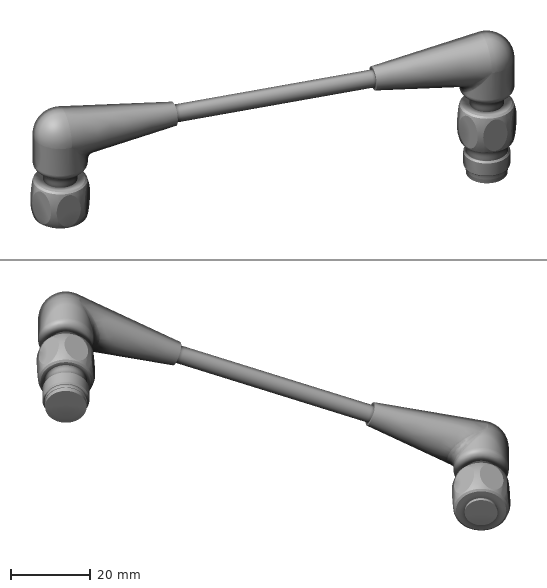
import cadquery as cq
import math


overall_length = 128.59
nut_corner_diameter = 15.4
connector_spacing = overall_length - nut_corner_diameter
connector_y = connector_spacing / 2

cable_diameter = 4.6
boot_reach = 30.2
boot_end_radius = 3.1

elbow_radius = 7.0
elbow_bottom_z = -10.0
elbow_edge_radius = 1.9
elbow_blend_radius = 2.0

neck_diameter = 8.7

nut_across_flats = 14.0
nut_top_z = -13.4
nut_height = 11.0
nut_bottom_z = nut_top_z - nut_height
nut_end_radius = 6.75
nut_end_chamfer = 0.4

spigot_diameter = 8.3
spigot_bottom_z = -25.2

sleeve_diameter = 10.8
collar_diameter = 11.9
collar_top_z = -27.5
collar_bottom_z = -32.0
collar_chamfer = 0.4
tip_diameter = 10.5
tip_top_z = -33.1
tip_bottom_z = -34.36


def vertical_cylinder(y, diameter, top_z, bottom_z):
    """Cylinder on a connector axis between two heights."""
    base = cq.Workplane("XY", origin=(0, y, bottom_z))
    return base.circle(diameter / 2).extrude(top_z - bottom_z)


def boot_and_dome():
    """Sphere with a cone tangent to it, reaching along +Y from the origin."""
    end_distance = math.hypot(boot_reach, boot_end_radius)
    end_angle = math.atan2(boot_end_radius, boot_reach)
    tangent_angle = end_angle + math.acos(elbow_radius / end_distance)
    tangent_y = elbow_radius * math.cos(tangent_angle)
    tangent_r = elbow_radius * math.sin(tangent_angle)
    outer_mid = elbow_radius * math.sqrt(0.5)
    profile = (
        cq.Workplane("XY")
        .moveTo(0, -elbow_radius)
        .threePointArc((outer_mid, -outer_mid), (tangent_r, tangent_y))
        .lineTo(boot_end_radius, boot_reach)
        .lineTo(0, boot_reach)
        .close()
    )
    return profile.revolve(360, (0, 0, 0), (0, 1, 0))


def elbow():
    """Domed right-angle body at the origin, its boot pointing along +Y."""
    barrel = vertical_cylinder(0, 2 * elbow_radius, 0, elbow_bottom_z)
    barrel = barrel.faces("<Z").edges().fillet(elbow_edge_radius)
    body = barrel.union(boot_and_dome())
    return body.edges("%BSPLINE").fillet(elbow_blend_radius)


def nut(y):
    """Hexagon with flats facing +X and -X, its corners rounded to a barrel shape."""
    half_height = nut_height / 2
    hexagon = (
        cq.Workplane("XY", origin=(0, y, nut_bottom_z))
        .polygon(6, nut_across_flats, circumscribed=True)
        .extrude(nut_height)
    )
    barrel = (
        cq.Workplane("XZ", origin=(0, y, nut_bottom_z + half_height))
        .moveTo(0, -half_height)
        .lineTo(nut_end_radius, -half_height)
        .threePointArc((nut_corner_diameter / 2, 0), (nut_end_radius, half_height))
        .lineTo(0, half_height)
        .close()
        .revolve(360, (0, 0, 0), (0, 1, 0))
        .faces("<Z or >Z")
        .chamfer(nut_end_chamfer)
    )
    return hexagon.intersect(barrel)


def sleeve(y):
    """Sleeve with a chamfered collar around it and a narrower tip at its lower end."""
    shank = vertical_cylinder(y, sleeve_diameter, nut_bottom_z, tip_top_z)
    collar = vertical_cylinder(y, collar_diameter, collar_top_z, collar_bottom_z)
    collar = collar.faces("<Z or >Z").chamfer(collar_chamfer)
    tip = vertical_cylinder(y, tip_diameter, tip_top_z, tip_bottom_z)
    return shank.union(collar).union(tip)


near_elbow = elbow().translate((0, -connector_y, 0))
result = near_elbow.union(near_elbow.mirror("XZ"))

cable_length = connector_spacing - 2 * boot_reach
cable = cq.Workplane("XZ").circle(cable_diameter / 2).extrude(cable_length / 2, both=True)
result = result.union(cable)

for y in (-connector_y, connector_y):
    result = result.union(vertical_cylinder(y, neck_diameter, elbow_bottom_z, nut_top_z))
    result = result.union(nut(y))

result = result.union(vertical_cylinder(-connector_y, spigot_diameter, nut_bottom_z, spigot_bottom_z))
result = result.union(sleeve(connector_y))